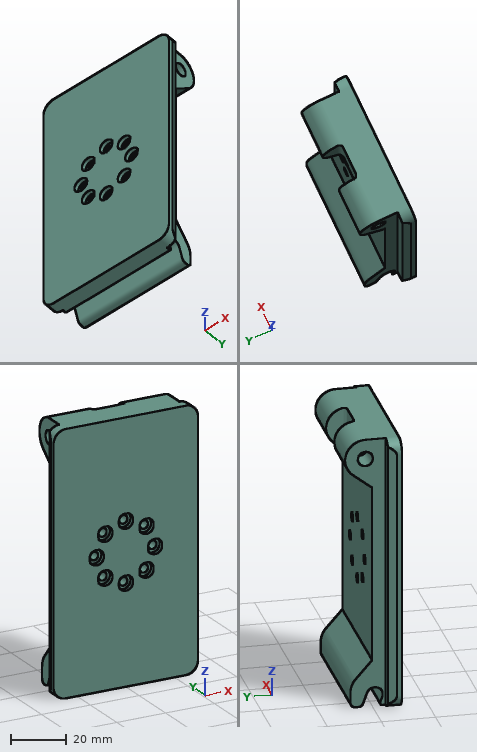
import cadquery as cq
import math

height = 104.0
plate_width = 59.3
plate_thickness = 5.0
corner_radius = 5.0
bevel_inset = 1.0
bevel_depth = 3.0

body_width = plate_width - 2 * corner_radius
body_back = 10.0
top = height / 2
bottom = -height / 2

knuckle_radius = 7.5
knuckle_y = 12.5
knuckle_z = top - knuckle_radius
knuckle_foot_z = top - 18.9
pin_diameter = 5.5
pin_depth = 10.0
notch_width = 13.5
notch_fillet = 1.5

hook_back = 18.0
hook_foot_z = bottom + 17.9
hook_shoulder_z = bottom + 8.8
hook_shoulder_fillet = 7.5
hook_tip_fillet = 1.9
lip_fillet = 0.9
slot_diameter = 5.9
slot_y = 9.0
slot_z = bottom + 4.3
slot_tilt = 20.0
slot_length = 10.4

screw_count = 8
screw_circle_radius = 12.0
screw_diameter = 3.3
counterbore_diameter = 5.9
counterbore_depth = 2.0


def make_plate():
    """Rounded plate whose two long edges are bevelled towards the back."""
    plate = (
        cq.Workplane("XY")
        .box(plate_width, plate_thickness, height)
        .translate((0, plate_thickness / 2, 0))
        .edges("|Y")
        .fillet(corner_radius)
    )
    half = plate_width / 2
    bevel_start = plate_thickness - bevel_depth
    bevelled_section = (
        cq.Workplane("XY", origin=(0, 0, bottom))
        .polyline([
            (-half, 0),
            (half, 0),
            (half, bevel_start),
            (half - bevel_inset, plate_thickness),
            (-half + bevel_inset, plate_thickness),
            (-half, bevel_start),
        ])
        .close()
        .extrude(height)
    )
    return plate.intersect(bevelled_section)


def across_body(outline):
    """Extrude a closed YZ outline over the full body width."""
    return outline.extrude(body_width / 2, both=True)


def make_body():
    """Spine with the knuckle profile at the top and the hook block at the bottom."""
    foot_dy = body_back - knuckle_y
    foot_dz = knuckle_foot_z - knuckle_z
    foot_angle = math.atan2(foot_dz, foot_dy)
    tangent_angle = foot_angle + math.acos(knuckle_radius / math.hypot(foot_dy, foot_dz))
    tangent_y = knuckle_y + knuckle_radius * math.cos(tangent_angle)
    tangent_z = knuckle_z + knuckle_radius * math.sin(tangent_angle)
    upper = across_body(
        cq.Workplane("YZ")
        .moveTo(0, bottom)
        .lineTo(0, top)
        .lineTo(knuckle_y, top)
        .threePointArc((knuckle_y + knuckle_radius, knuckle_z), (tangent_y, tangent_z))
        .lineTo(body_back, knuckle_foot_z)
        .lineTo(body_back, bottom)
        .close()
    )
    hook = across_body(
        cq.Workplane("YZ")
        .moveTo(0, bottom)
        .lineTo(0, hook_foot_z)
        .lineTo(body_back, hook_foot_z)
        .lineTo(hook_back, hook_shoulder_z)
        .lineTo(hook_back, bottom)
        .close()
    )
    shoulder = cq.selectors.NearestToPointSelector((0, hook_back, hook_shoulder_z))
    return upper.union(hook.edges("|X").edges(shoulder).fillet(hook_shoulder_fillet))


def cut_hook_slot(body):
    """Tilted open slot that catches a latch pin, with rounded mouth edges."""
    slot = across_body(
        cq.Workplane("YZ").rect(slot_diameter, slot_length)
    ).translate((0, 0, -slot_length / 2))
    slot = slot.union(across_body(cq.Workplane("YZ").circle(slot_diameter / 2)))
    slot = slot.rotate((0, 0, 0), (1, 0, 0), slot_tilt).translate((0, slot_y, slot_z))
    body = body.cut(slot)
    tilt = math.radians(slot_tilt)
    mouth_centre = slot_y + (slot_z - bottom) * math.tan(tilt)
    mouth_half = slot_diameter / 2 / math.cos(tilt)
    for y, radius in (
        (hook_back, hook_tip_fillet),
        (mouth_centre + mouth_half, hook_tip_fillet),
        (mouth_centre - mouth_half, lip_fillet),
    ):
        corner = cq.selectors.NearestToPointSelector((0, y, bottom))
        body = body.edges("|X").edges(corner).fillet(radius)
    return body


def make_notch():
    """Gap between the two knuckles, with rounded inner corners."""
    notch_depth = 2 * knuckle_radius
    return (
        cq.Workplane("XY")
        .box(notch_width, notch_depth, top - knuckle_foot_z)
        .edges("|Z and <Y")
        .fillet(notch_fillet)
        .translate((0, knuckle_y + notch_depth / 2, (top + knuckle_foot_z) / 2))
    )


def make_pin_hole(side):
    """Blind hinge pin hole entering from one end of the body."""
    return (
        cq.Workplane("YZ", origin=(side * body_width / 2, knuckle_y, knuckle_z))
        .circle(pin_diameter / 2)
        .extrude(-side * pin_depth)
    )


def cut_screw_holes(part):
    """Ring of screw holes counterbored from the front face."""
    return (
        part.copyWorkplane(cq.Workplane("XZ"))
        .polarArray(screw_circle_radius, 0, 360, screw_count)
        .cboreHole(screw_diameter, counterbore_diameter, counterbore_depth)
    )


body = cut_hook_slot(make_body()).cut(make_notch())
for side in (-1, 1):
    body = body.cut(make_pin_hole(side))

result = cut_screw_holes(make_plate().union(body))